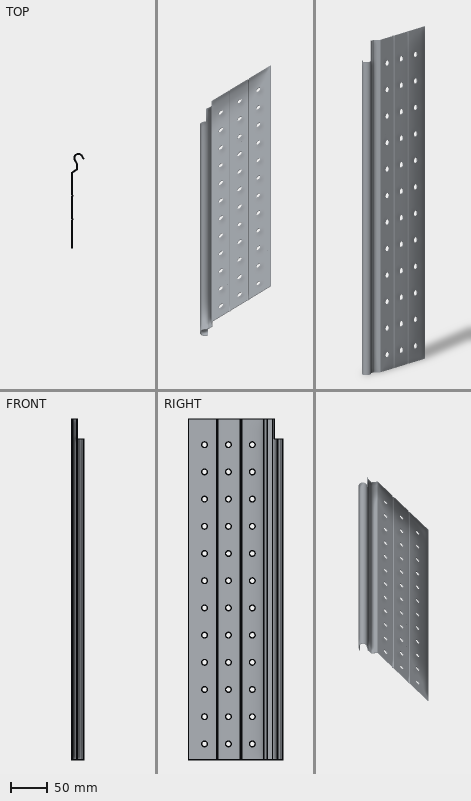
import cadquery as cq
import math

length = 470.0
depth = 130.0
width = 17.0
thickness = 1.0
half = thickness / 2

joggle_start = 104.0
joggle_end = 108.5
flange_x = 7.5
web_x = half

neck_start = 115.5
curl_radius = 5.5
outer_radius = curl_radius + half
inner_radius = curl_radius - half
curl_x = 9.5
curl_y = depth - outer_radius
lip_angle = 30.0

notch_height = 27.5
notch_y = 118.5

hole_diameter = 7.5
hole_rows = 12
first_hole_z = 22.0
last_hole_z = 434.5
hole_pitch = (last_hole_z - first_hole_z) / (hole_rows - 1)
hole_columns = 3
column_pitch = 33.0
first_column_y = 22.0

bead_count = hole_columns - 1
first_bead_y = 39.5
bead_height = 1.18
bead_half_width = 1.18


def polar(center, radius, angle):
    return (center[0] + radius * math.cos(angle), center[1] + radius * math.sin(angle))


def extrude_outline(outline):
    return outline.close().extrude(length)


def bead_points(face_x):
    """Corner points of the pressed V-beads along one face of the web."""
    points = []
    for bead in range(bead_count):
        y = first_bead_y + bead * column_pitch
        points += [
            (face_x, y - bead_half_width),
            (face_x + bead_height, y),
            (face_x, y + bead_half_width),
        ]
    return points


def web_and_flange():
    """Beaded web, sloping joggle and offset flange, up to the neck."""
    slope = math.atan2(flange_x - web_x, joggle_end - joggle_start)
    miter = half * math.tan(slope / 2)

    def face(side):
        web_face = web_x + side * half
        flange_face = flange_x + side * half
        return (
            [(web_face, 0)]
            + bead_points(web_face)
            + [
                (web_face, joggle_start - side * miter),
                (flange_face, joggle_end - side * miter),
                (flange_face, neck_start),
            ]
        )

    return extrude_outline(cq.Workplane("XY").polyline(face(-1) + face(1)[::-1]))


def hook():
    """Leaning neck, round curl and straight lip, with the neck and lip tangent to the curl."""
    center = (curl_x, curl_y)
    rise = curl_y - neck_start
    shift = curl_x - flange_x
    lean = math.asin(curl_radius / math.hypot(shift, rise)) - math.atan2(shift, rise)
    curl_start = math.pi + lean
    curl_end = math.radians(lip_angle)
    curl_middle = (curl_start + curl_end) / 2
    lip_direction = curl_end - math.pi / 2
    lip_length = (width - curl_x - outer_radius * math.cos(curl_end)) / math.cos(lip_direction)
    bend_miter = half * math.tan(lean / 2)

    def lip_tip(radius):
        return polar(polar(center, radius, curl_end), lip_length, lip_direction)

    outline = (
        cq.Workplane("XY")
        .moveTo(flange_x - half, neck_start - bend_miter)
        .lineTo(*polar(center, outer_radius, curl_start))
        .threePointArc(polar(center, outer_radius, curl_middle), polar(center, outer_radius, curl_end))
        .lineTo(*lip_tip(outer_radius))
        .lineTo(*lip_tip(inner_radius))
        .lineTo(*polar(center, inner_radius, curl_end))
        .threePointArc(polar(center, inner_radius, curl_middle), polar(center, inner_radius, curl_start))
        .lineTo(flange_x + half, neck_start + bend_miter)
        .lineTo(flange_x + half, neck_start - bend_miter)
    )
    return extrude_outline(outline)


def notch():
    corner = (0, notch_y, length - notch_height)
    return cq.Workplane("XY").box(width, depth, notch_height, centered=False).translate(corner)


def holes():
    centers = [
        (first_column_y + column * column_pitch, first_hole_z + row * hole_pitch)
        for column in range(hole_columns)
        for row in range(hole_rows)
    ]
    return cq.Workplane("YZ").pushPoints(centers).circle(hole_diameter / 2).extrude(width)


result = web_and_flange().union(hook()).cut(notch()).cut(holes())